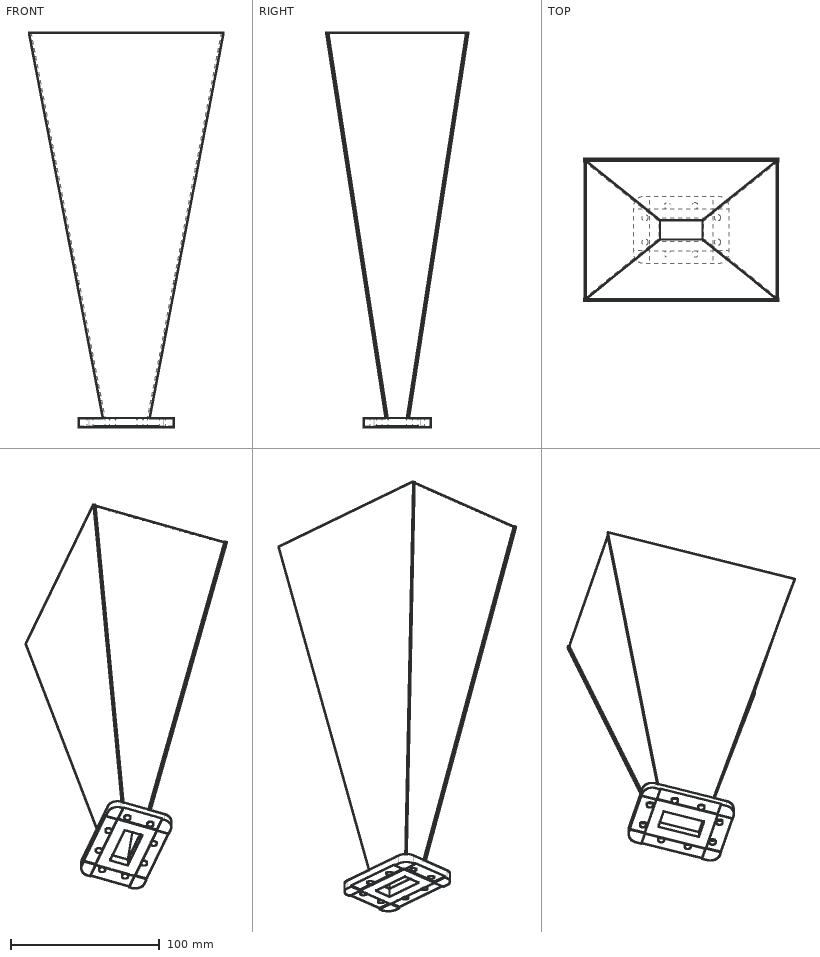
import cadquery as cq

TOTAL_HEIGHT = 265.2
MOUTH_LENGTH = 131.0
MOUTH_WIDTH = 95.7

FLANGE_LENGTH = 64.0
FLANGE_WIDTH = 45.0
FLANGE_THICKNESS = 6.0
FLANGE_CORNER_RADIUS = 7.0
BORE_LENGTH = 28.5
BORE_WIDTH = 12.7
HOLE_DIAMETER = 4.2
END_HOLE_X = 24.5
END_HOLE_Y = 8.2
SIDE_HOLE_X = 9.3
SIDE_HOLE_Y = 16.2

RELIEF_LENGTH = 42.5
RELIEF_WIDTH = 27.8
RELIEF_DEPTH = 0.8
PAD_MARGIN = 0.3

BROAD_THICKNESS = 1.5
SIDE_THICKNESS = 0.93
PLATE_OVERHANG = 0.65

SIDE_INSET = SIDE_THICKNESS + PLATE_OVERHANG
THROAT_LENGTH = BORE_LENGTH + 2 * SIDE_INSET
THROAT_WIDTH = BORE_WIDTH + 2 * BROAD_THICKNESS


def make_flange():
    """Rounded rectangular flange with its bore, bolt holes and underside relief."""
    flange = (
        cq.Workplane("XY")
        .rect(FLANGE_LENGTH, FLANGE_WIDTH)
        .extrude(FLANGE_THICKNESS)
        .edges("|Z")
        .fillet(FLANGE_CORNER_RADIUS)
    )
    bore = cq.Workplane("XY").rect(BORE_LENGTH, BORE_WIDTH).extrude(FLANGE_THICKNESS)
    hole_centers = [
        (side_x * x, side_y * y)
        for x, y in [(END_HOLE_X, END_HOLE_Y), (SIDE_HOLE_X, SIDE_HOLE_Y)]
        for side_x in (-1, 1)
        for side_y in (-1, 1)
    ]
    holes = (
        cq.Workplane("XY")
        .pushPoints(hole_centers)
        .circle(HOLE_DIAMETER / 2)
        .extrude(FLANGE_THICKNESS)
    )
    return flange.cut(bore).cut(holes).cut(make_relief())


def make_relief():
    """Edge notches that leave four corner feet and a central contact pad."""
    along_x = cq.Workplane("XY").rect(FLANGE_LENGTH, RELIEF_WIDTH).extrude(RELIEF_DEPTH)
    along_y = cq.Workplane("XY").rect(RELIEF_LENGTH, FLANGE_WIDTH).extrude(RELIEF_DEPTH)
    pad = (
        cq.Workplane("XY")
        .rect(RELIEF_LENGTH + 2 * PAD_MARGIN, RELIEF_WIDTH + 2 * PAD_MARGIN)
        .extrude(RELIEF_DEPTH)
    )
    return along_x.union(along_y).cut(pad)


def make_plate(throat_box, mouth_box):
    """Flared plate between two rectangles, each given as (x min, x max, y min, y max)."""
    sections = []
    for box, z in [(throat_box, FLANGE_THICKNESS), (mouth_box, TOTAL_HEIGHT)]:
        x_min, x_max, y_min, y_max = box
        corners = [(x_min, y_min, z), (x_max, y_min, z), (x_max, y_max, z), (x_min, y_max, z)]
        sections.append(cq.Wire.makePolygon([cq.Vector(*corner) for corner in corners], close=True))
    return cq.Solid.makeLoft(sections, True)


def broad_plate_box(length, width, side):
    """Section of a broad plate on the -Y (side -1) or +Y (side 1) wall."""
    outer = width / 2
    inner = outer - BROAD_THICKNESS
    y_min, y_max = sorted((side * outer, side * inner))
    return -length / 2, length / 2, y_min, y_max


def side_plate_box(length, width, side):
    """Section of a side plate, fitted between the broad plates on the -X or +X wall."""
    outer = length / 2 - PLATE_OVERHANG
    inner = outer - SIDE_THICKNESS
    x_min, x_max = sorted((side * outer, side * inner))
    half_gap = width / 2 - BROAD_THICKNESS
    return x_min, x_max, -half_gap, half_gap


def make_plate_pair(plate_box):
    """The two opposite plates that share one section rule."""
    return [
        make_plate(
            plate_box(THROAT_LENGTH, THROAT_WIDTH, side),
            plate_box(MOUTH_LENGTH, MOUTH_WIDTH, side),
        )
        for side in (-1, 1)
    ]


flange = make_flange()
broad_plates = make_plate_pair(broad_plate_box)
side_plates = make_plate_pair(side_plate_box)

result = cq.Compound.makeCompound([flange.val(), *broad_plates, *side_plates])